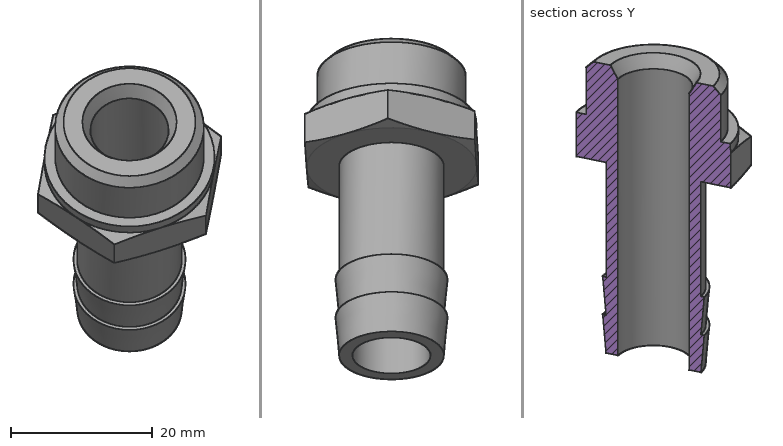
import cadquery as cq
import math

total_height = 45.5
barb_length = 6.0
barb_count = 2
hex_bottom = 30.0
hex_top = 35.5
collar_top = 37.0

shank_diameter = 14.8
barb_diameter = 15.85
hex_across_flats = 24.0
collar_diameter = hex_across_flats
spigot_diameter = 20.98
bore_diameter = 11.0

spigot_chamfer = 1.2
countersink_width = 1.15
countersink_half_angle = math.radians(30)
hex_corner_drop = 0.5

hex_across_corners = hex_across_flats / math.cos(math.pi / 6)


def cylinder(diameter, bottom, top):
    return cq.Workplane("XY").workplane(offset=bottom).circle(diameter / 2).extrude(top - bottom)


def revolve_profile(points):
    """Revolve a closed (radius, height) outline about the Z axis."""
    return cq.Workplane("XZ").polyline(points).close().revolve(360, (0, 0, 0), (0, 1, 0))


def hose_barb(bottom):
    """Cone that widens upward and ends in a sharp step."""
    top = bottom + barb_length
    return revolve_profile([
        (0, bottom),
        (shank_diameter / 2, bottom),
        (barb_diameter / 2, top),
        (0, top),
    ])


def hexagon():
    """Hexagon with corners on the Y axis, turned conically at both ends."""
    prism = (
        cq.Workplane("XY")
        .workplane(offset=hex_bottom)
        .transformed(rotate=(0, 0, 90))
        .polygon(6, hex_across_corners)
        .extrude(hex_top - hex_bottom)
    )
    flat_radius = hex_across_flats / 2
    corner_radius = hex_across_corners / 2
    turned_envelope = revolve_profile([
        (0, hex_bottom),
        (flat_radius, hex_bottom),
        (corner_radius, hex_bottom + hex_corner_drop),
        (corner_radius, hex_top - hex_corner_drop),
        (flat_radius, hex_top),
        (0, hex_top),
    ])
    return prism.intersect(turned_envelope)


shank = cylinder(shank_diameter, 0, hex_bottom)
collar = cylinder(collar_diameter, hex_top, collar_top)
spigot = cylinder(spigot_diameter, collar_top, total_height).faces(">Z").edges().chamfer(spigot_chamfer)

body = shank.union(hexagon()).union(collar).union(spigot)
for index in range(barb_count):
    body = body.union(hose_barb(index * barb_length))

bore = cylinder(bore_diameter, 0, total_height)
mouth_radius = bore_diameter / 2 + countersink_width
countersink_depth = countersink_width / math.tan(countersink_half_angle)
countersink = revolve_profile([
    (0, total_height - countersink_depth),
    (bore_diameter / 2, total_height - countersink_depth),
    (mouth_radius, total_height),
    (0, total_height),
])

result = body.cut(bore).cut(countersink)